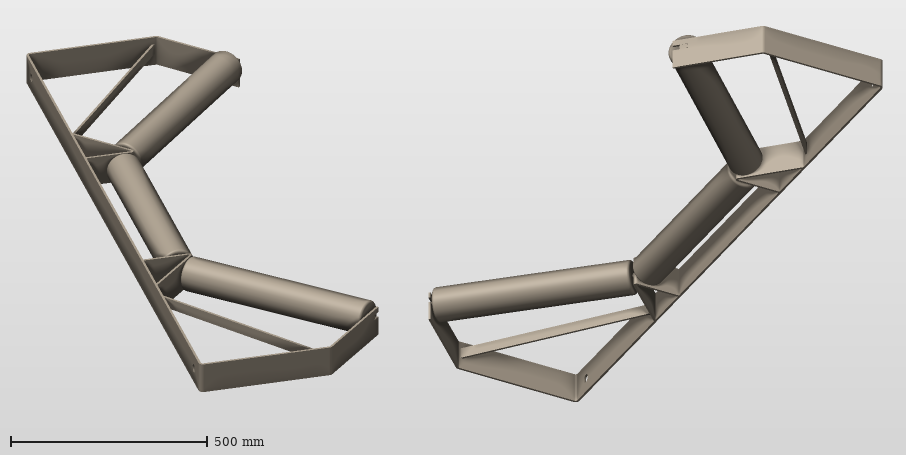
import math

import cadquery as cq

frame_length = 1680.0
frame_height = 80.0
plate_thickness = 6.0
bend_outer_radius = 12.0
bend_inner_radius = bend_outer_radius - plate_thickness
upright_height = 348.0
arm_end_y = 519.0
mounting_hole_diameter = 22.0
mounting_hole_inset = 57.0

roller_diameter = 90.0
roller_length = 528.0
roller_edge_radius = 7.0
side_plate_spacing = 546.0
center_plate_spacing = 551.0
center_axis_y = 100.0
center_axis_z = 42.0
side_axis_offset = 135.0
side_tilt = 1.75

shaft_diameter = 22.0
shaft_flat_height = 13.0
slot_reach = 50.0

bracket_inner_radius = 2.0
bracket_outer_radius = bracket_inner_radius + plate_thickness

brace_height = 29.0
brace_bottom_z = 32.0
brace_foot_x = 420.0
brace_top_y = 340.0

half_plate = plate_thickness / 2
arm_angle = 45.0
diagonal = math.sin(math.radians(arm_angle))
upright_x = frame_length / 2 - half_plate
bend_y = upright_height - half_plate * math.tan(math.radians(arm_angle / 2))
arm_run = arm_end_y - half_plate * diagonal - bend_y
arm_end = (-upright_x + arm_run, bend_y + arm_run)

arm_line = bend_y + upright_x
leg_line = arm_line - side_plate_spacing / diagonal
bracket_x = center_plate_spacing / 2
apex_y = leg_line - bracket_x

side_axis_sum = -side_axis_offset / diagonal
side_mid_difference = (arm_line + leg_line) / 2
side_mid_x = (side_axis_sum - side_mid_difference) / 2
side_mid_y = (side_axis_sum + side_mid_difference) / 2
side_rise = side_plate_spacing / 2 * math.tan(math.radians(side_tilt))


def offset_path(points, distance):
    """Shift an open path sideways by a distance, with mitred corners."""
    normals = []
    for (x0, y0), (x1, y1) in zip(points, points[1:]):
        length = math.hypot(x1 - x0, y1 - y0)
        normals.append(((y0 - y1) / length, (x1 - x0) / length))
    before = [normals[0]] + normals
    after = normals + [normals[-1]]
    shifted = []
    for (x, y), (ax, ay), (bx, by) in zip(points, before, after):
        scale = distance / (1 + ax * bx + ay * by)
        shifted.append((x + (ax + bx) * scale, y + (ay + by) * scale))
    return shifted


def bent_plate(path, left_radius, right_radius):
    """Upright plate that follows a path; each face has its own radius at the bends."""
    left_face = offset_path(path, half_plate)
    right_face = offset_path(path, -half_plate)
    plate = cq.Workplane("XY").polyline(left_face + right_face[::-1]).close().extrude(frame_height)
    for face, radius in ((left_face, left_radius), (right_face, right_radius)):
        for x, y in face[1:-1]:
            corner = cq.selectors.NearestToPointSelector((x, y, frame_height / 2))
            plate = plate.edges("|Z").edges(corner).fillet(radius)
    return plate


def side_plane(side):
    """Frame of a side roller: Z along its axis toward the outer end, X toward the slot mouths."""
    tilt = math.radians(side_tilt)
    outward = math.cos(tilt) * diagonal
    return cq.Plane(
        origin=(side * -side_mid_x, side_mid_y, center_axis_z + side_rise),
        xDir=(-side * diagonal, diagonal, 0),
        normal=(side * outward, outward, math.sin(tilt)),
    )


center_plane = cq.Plane(origin=(0, center_axis_y, center_axis_z), xDir=(0, 1, 0), normal=(1, 0, 0))
side_seats = [(side_plane(side), side_plate_spacing) for side in (-1, 1)]
roller_seats = [(center_plane, center_plate_spacing)] + side_seats


def make_roller(plane, plate_spacing):
    """Roller with rounded rims and a flatted shaft end through each supporting plate."""
    shaft_length = plate_spacing + plate_thickness
    shell = cq.Workplane(plane).cylinder(roller_length, roller_diameter / 2)
    shell = shell.edges().fillet(roller_edge_radius)
    flats = cq.Workplane(plane).box(shaft_diameter, shaft_flat_height, shaft_length)
    shaft = cq.Workplane(plane).cylinder(shaft_length, shaft_diameter / 2).intersect(flats)
    return shell.union(shaft)


def shaft_slots(plane, plate_spacing):
    """Cutter for the slots at both ends of a roller, open past the free edge of each plate."""
    back = -shaft_diameter / 2
    slot_length = slot_reach - back
    cutter_width = 3 * plate_thickness
    return (
        cq.Workplane(plane)
        .pushPoints([(back + slot_length / 2, 0)])
        .box(slot_length, shaft_flat_height, plate_spacing + cutter_width)
        .cut(cq.Workplane(plane).box(2 * slot_reach, frame_height, plate_spacing - cutter_width))
    )


def make_frame():
    left_half = [arm_end, (-upright_x, bend_y), (-upright_x, half_plate)]
    right_half = [(-x, y) for x, y in reversed(left_half)]
    frame = bent_plate(left_half + right_half, bend_inner_radius, bend_outer_radius)
    hole_x = frame_length / 2 - mounting_hole_inset
    holes = (
        cq.Workplane("XZ", origin=(0, 0, frame_height / 2))
        .pushPoints([(-hole_x, 0), (hole_x, 0)])
        .circle(mounting_hole_diameter / 2)
        .extrude(-plate_thickness)
    )
    frame = frame.cut(holes)
    for plane, plate_spacing in side_seats:
        frame = frame.cut(shaft_slots(plane, plate_spacing))
    return frame


def make_bracket(side):
    """V-shaped plate that carries the inner end of a side roller and one end of the center roller."""
    foot_y = -plate_thickness
    path = [(foot_y - leg_line, foot_y), (-bracket_x, apex_y), (-bracket_x, foot_y)]
    bracket = bent_plate(path, bracket_outer_radius, bracket_inner_radius)
    trim_depth = 5 * plate_thickness
    trim_center_y = plate_thickness - trim_depth / 2
    feet_trim = cq.Workplane("XY").box(frame_length, trim_depth, 2 * frame_height)
    bracket = bracket.cut(feet_trim.translate((0, trim_center_y, 0)))
    if side > 0:
        bracket = bracket.mirror("YZ")
    for plane, plate_spacing in roller_seats:
        bracket = bracket.cut(shaft_slots(plane, plate_spacing))
    return bracket


def make_brace(side):
    """Flat bar whose ends are cut to sit flat on the base and on the upright."""
    wall_x = frame_length / 2 - plate_thickness
    angle = math.atan2(brace_top_y - plate_thickness, wall_x - brace_foot_x)
    foot_width = plate_thickness / math.sin(angle)
    head_width = plate_thickness / math.cos(angle)
    outline = [
        (side * brace_foot_x, plate_thickness),
        (side * wall_x, brace_top_y),
        (side * wall_x, brace_top_y - head_width),
        (side * (brace_foot_x + foot_width), plate_thickness),
    ]
    return cq.Workplane("XY", origin=(0, 0, brace_bottom_z)).polyline(outline).close().extrude(brace_height)


frame = make_frame()
brackets = [make_bracket(side) for side in (-1, 1)]
braces = [make_brace(side) for side in (-1, 1)]
rollers = [make_roller(plane, plate_spacing) for plane, plate_spacing in roller_seats]

bodies = [frame] + brackets + braces + rollers
result = cq.Compound.makeCompound([body.val() for body in bodies])